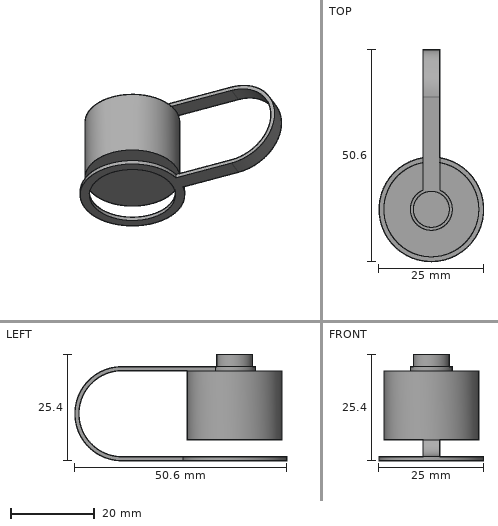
import cadquery as cq

overall_length = 50.65
overall_height = 25.45

ring_radius = 12.5
ring_hole_radius = 10.3
body_radius = 11.35
body_bottom = 5.0
flange_radius = 5.0
button_radius = 4.3

strap_width = 4.1
strap_thickness = 1.0
strap_top = 22.55

body_top = strap_top - strap_thickness
bend_radius = strap_top / 2
bend_start = overall_length - ring_radius - bend_radius


def disc(radius, bottom, top):
    """Solid cylinder on the Z axis between two heights."""
    return cq.Workplane("XY").workplane(offset=bottom).circle(radius).extrude(top - bottom)


def loop_side(inset):
    """U-shaped solid from the Z axis to the bend, offset inwards by inset."""
    return (
        cq.Workplane("YZ")
        .moveTo(0, inset)
        .lineTo(bend_start, inset)
        .threePointArc(
            (bend_start + bend_radius - inset, bend_radius),
            (bend_start, strap_top - inset),
        )
        .lineTo(0, strap_top - inset)
        .close()
        .extrude(strap_width / 2, both=True)
    )


strap = loop_side(0).cut(loop_side(strap_thickness))
ring_hole = disc(ring_hole_radius, 0, strap_thickness)
ring = disc(ring_radius, 0, strap_thickness)
tether = strap.union(ring).cut(ring_hole)

body = disc(body_radius, body_bottom, body_top)
flange = disc(flange_radius, body_top, strap_top)
button = disc(button_radius, strap_top, overall_height)

result = tether.union(body).union(flange).union(button)